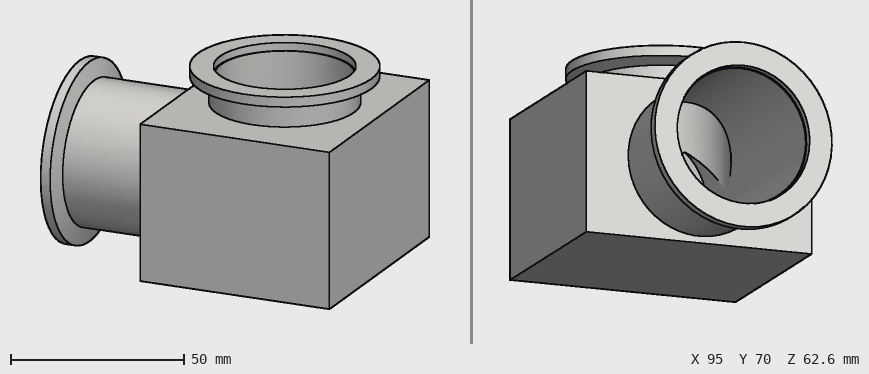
import cadquery as cq
import math

TOTAL_LENGTH = 95.0
PORT_REACH = 35.0
BLOCK_LENGTH = TOTAL_LENGTH - PORT_REACH
BLOCK_WIDTH = 70.0
BLOCK_HEIGHT = 48.0
TOP_PORT_X = PORT_REACH + BLOCK_LENGTH / 2
TOP_FACE_Z = 35.1

FLANGE_DIAMETER = 55.0
RIM_THICKNESS = 3.0
TUBE_DIAMETER = 44.0
FLANGE_TAPER_ANGLE = 15

BORE_DIAMETER = 40.6
RECESS_DIAMETER = 41.1
RECESS_DEPTH = 2.5
SIDE_BORE_DEPTH = 80.2
DRILL_POINT_ANGLE = 118


def revolve_profile(points):
    """Turn (radius, depth) points, depth measured inward from z = 0, about Z."""
    outline = [(radius, -depth) for radius, depth in points]
    return cq.Workplane("XZ").polyline(outline).close().revolve(360, (0, 0), (0, 1))


def flanged_tube(length):
    """Solid tube with a tapered clamp flange whose face lies at z = 0."""
    flange_radius = FLANGE_DIAMETER / 2
    tube_radius = TUBE_DIAMETER / 2
    taper_depth = (flange_radius - tube_radius) * math.tan(math.radians(FLANGE_TAPER_ANGLE))
    return revolve_profile([
        (0, 0),
        (flange_radius, 0),
        (flange_radius, RIM_THICKNESS),
        (tube_radius, RIM_THICKNESS + taper_depth),
        (tube_radius, length),
        (0, length),
    ])


def recessed_bore(depth, point_depth=0):
    """Bore with a shallow wider mouth, ending in a conical point if point_depth is set."""
    bore_radius = BORE_DIAMETER / 2
    recess_radius = RECESS_DIAMETER / 2
    return revolve_profile([
        (0, 0),
        (recess_radius, 0),
        (recess_radius, RECESS_DEPTH),
        (bore_radius, RECESS_DEPTH),
        (bore_radius, depth),
        (0, depth + point_depth),
    ])


def at_side_port(body):
    """Turn a body so that its face lies at X = 0, looking toward -X."""
    return body.rotate((0, 0, 0), (0, 1, 0), -90)


def at_top_port(body):
    return body.translate((TOP_PORT_X, 0, TOP_FACE_Z))


block = cq.Workplane("XY").box(BLOCK_LENGTH, BLOCK_WIDTH, BLOCK_HEIGHT).translate((TOP_PORT_X, 0, 0))
top_tube_length = TOP_FACE_Z - BLOCK_HEIGHT / 2
body = (
    block
    .union(at_side_port(flanged_tube(PORT_REACH)))
    .union(at_top_port(flanged_tube(top_tube_length)))
)

drill_point_depth = BORE_DIAMETER / 2 / math.tan(math.radians(DRILL_POINT_ANGLE / 2))
side_bore = at_side_port(recessed_bore(SIDE_BORE_DEPTH, drill_point_depth))
top_bore = at_top_port(recessed_bore(TOP_FACE_Z))

result = body.cut(side_bore).cut(top_bore)